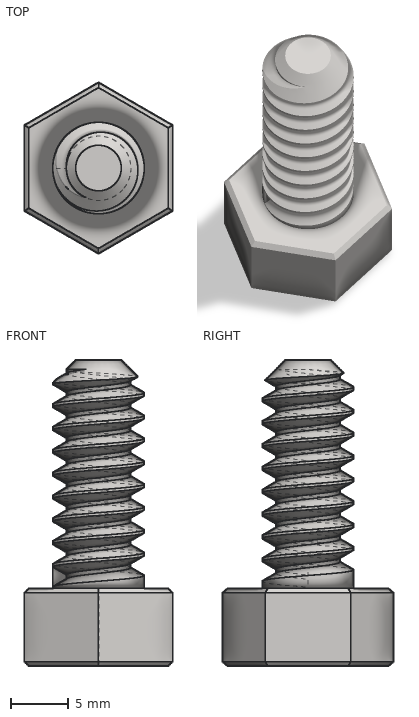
import cadquery as cq
import math

total_height = 26.8
head_height = 6.8
shank_length = total_height - head_height

across_flats = 13.0
across_corners = across_flats / math.cos(math.radians(30))
head_chamfer = 0.4

shank_diameter = 8.0
shank_radius = shank_diameter / 2
tip_chamfer = 2.0
root_radius = 2.81
thread_turns = 10
pitch = shank_length / thread_turns
crest_width = pitch / 8
flank_slope = math.tan(math.radians(30))
groove_overcut = 0.08


def make_head():
    """Hexagonal prism with two corners on the Y axis and both end rims chamfered."""
    prism = cq.Workplane("XY").polygon(6, across_corners).extrude(head_height)
    prism = prism.rotate((0, 0, 0), (0, 0, 1), 30)
    return prism.faces("<Z or >Z").chamfer(head_chamfer)


def make_shank():
    """Plain cylinder on top of the head, with a conical tip."""
    cylinder = cq.Workplane("XY").workplane(offset=head_height).circle(shank_radius).extrude(shank_length)
    return cylinder.faces(">Z").chamfer(tip_chamfer)


def make_thread_groove():
    """Right-hand helical groove that starts abruptly on the -X side, just above the head."""
    mouth_radius = shank_radius + groove_overcut
    mouth_half_width = (pitch - crest_width) / 2 + groove_overcut * flank_slope
    root_half_width = mouth_half_width - (mouth_radius - root_radius) * flank_slope
    start_height = head_height + pitch / 2

    section = [
        (root_radius, -root_half_width),
        (mouth_radius, -mouth_half_width),
        (mouth_radius, mouth_half_width),
        (root_radius, root_half_width),
    ]
    helices = []
    for radius, rise in section:
        base = cq.Vector(0, 0, start_height + rise)
        helices.append(cq.Wire.makeHelix(pitch, shank_length, radius, base).Edges()[0])
    faces = []
    for helix, next_helix in zip(helices, helices[1:] + helices[:1]):
        faces.append(cq.Face.makeRuledSurface(helix, next_helix))
    for position in (0, 1):
        corners = [helix.positionAt(position) for helix in helices]
        faces.append(cq.Face.makeFromWires(cq.Wire.makePolygon(corners, close=True)))

    groove = cq.Solid.makeSolid(cq.Shell.makeShell(faces)).fix()
    return cq.Workplane(obj=groove).rotate((0, 0, 0), (0, 0, 1), 180)


threaded_shank = make_shank().cut(make_thread_groove())
result = make_head().union(threaded_shank)